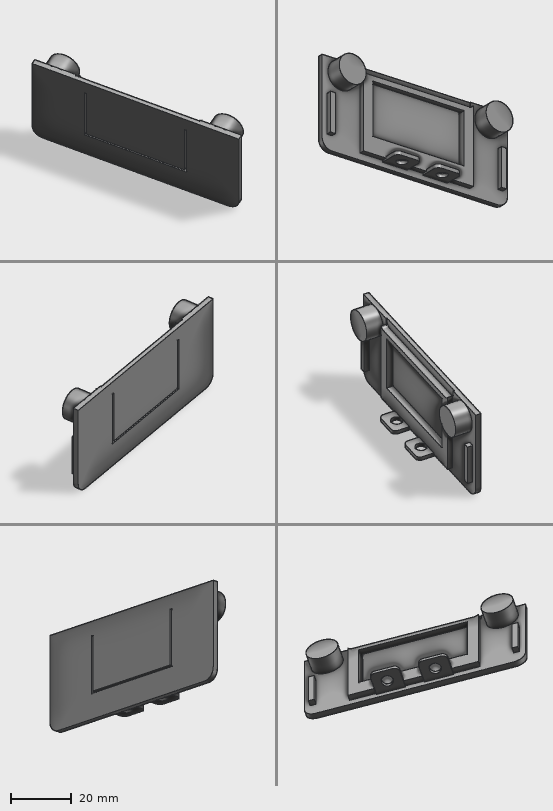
import cadquery as cq

plate_width = 76.0
plate_height = 34.25
plate_thickness = 2.0
plate_corner_radius = 4.0

tongue_width = 36.0
slot_width = 0.7
slot_bottom_z = 9.0
slot_top_z = 29.2
slot_outer_width = tongue_width + 2 * slot_width

raised_height = 2.0
frame_width = 44.9
frame_bottom_z = 2.6
rib_outer_x = 36.0
rib_thickness = 2.0
rib_bottom_z = 5.6
rib_top_z = 20.5

recess_width = 45.6
recess_corner_radius = 2.0
recess_floor_y = 1.6
recess_bottom_z = slot_top_z + 2.0

boss_diameter = 11.0
boss_x = 30.1
boss_back_y = 8.2
boss_z = plate_height - boss_diameter / 2

tab_x = 8.25
tab_width = 10.0
tab_back_y = 10.0
tab_bottom_z = 1.9
tab_thickness = 1.4
tab_corner_radius = 1.8
tab_hole_diameter = 4.0
tab_hole_y = 6.0

raised_back_y = plate_thickness + raised_height


def block(x_range, y_range, z_range):
    """Box given by its lower and upper limit along each axis."""
    lows, highs = zip(x_range, y_range, z_range)
    sizes = [high - low for low, high in zip(lows, highs)]
    return cq.Workplane("XY").box(*sizes, centered=False).translate(lows)


def centered_block(width, y_range, z_range):
    """Box centred on x = 0."""
    return block((-width / 2, width / 2), y_range, z_range)


def make_plate():
    plate = centered_block(plate_width, (0, plate_thickness), (0, plate_height))
    return plate.edges("|Y and <Z").fillet(plate_corner_radius)


def make_frame():
    depth = (plate_thickness, raised_back_y)
    outer = centered_block(frame_width, depth, (frame_bottom_z, plate_height))
    window = centered_block(slot_outer_width, depth, (slot_bottom_z, slot_top_z))
    return outer.cut(window)


def make_recess():
    recess = centered_block(
        recess_width, (recess_floor_y, raised_back_y), (recess_bottom_z, plate_height)
    )
    return recess.edges("|Y and <Z").fillet(recess_corner_radius)


def make_slot():
    depth = (0, plate_thickness)
    outer = centered_block(slot_outer_width, depth, (slot_bottom_z, slot_top_z))
    tongue = centered_block(tongue_width, depth, (slot_bottom_z + slot_width, slot_top_z))
    return outer.cut(tongue)


def make_rib(side):
    x_range = sorted((side * rib_outer_x, side * (rib_outer_x - rib_thickness)))
    return block(x_range, (plate_thickness, raised_back_y), (rib_bottom_z, rib_top_z))


def make_boss(side):
    axis_start = cq.Vector(side * boss_x, plate_thickness, boss_z)
    boss_length = boss_back_y - plate_thickness
    return cq.Workplane(
        cq.Solid.makeCylinder(boss_diameter / 2, boss_length, axis_start, cq.Vector(0, 1, 0))
    )


def make_tab(side):
    z_range = (tab_bottom_z, tab_bottom_z + tab_thickness)
    tab = centered_block(tab_width, (plate_thickness, tab_back_y), z_range)
    tab = tab.edges("|Z and >Y").fillet(tab_corner_radius)
    hole = (
        cq.Workplane("XY", origin=(0, tab_hole_y, tab_bottom_z))
        .circle(tab_hole_diameter / 2)
        .extrude(tab_thickness)
    )
    return tab.cut(hole).translate((side * tab_x, 0, 0))


result = make_plate().union(make_frame()).cut(make_recess()).cut(make_slot())
for side in (-1, 1):
    result = result.union(make_rib(side)).union(make_boss(side)).union(make_tab(side))